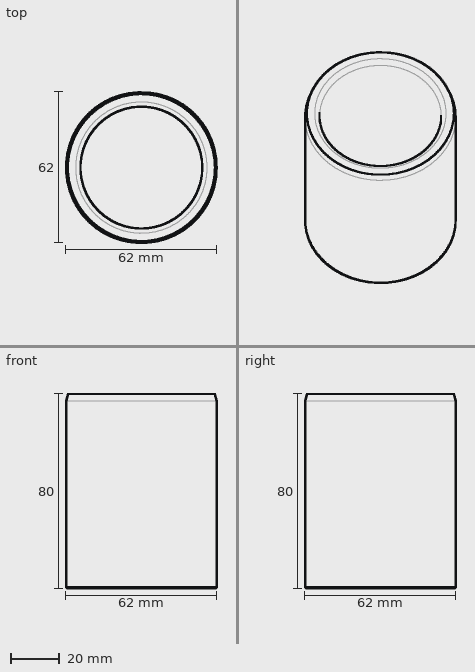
import cadquery as cq

outer_diameter = 62.0
bore_diameter = 50.0
length = 80.0

taper_height = 3.0
taper_width = 0.8

bottom_chamfer = 0.5

mouth_radius = 2.0


def sleeve():
    """Plain tube standing on the XY plane."""
    outer_radius = outer_diameter / 2
    bore_radius = bore_diameter / 2
    return cq.Workplane("XY").circle(outer_radius).circle(bore_radius).extrude(length)


def taper_top(body):
    """Long, shallow chamfer on the outer top edge."""
    outer_top_edge = cq.selectors.RadiusNthSelector(-1)
    return body.faces(">Z").edges(outer_top_edge).chamfer(taper_height, taper_width)


def chamfer_bottom(body):
    """Equal-leg chamfer on the outer bottom edge."""
    outer_bottom_edge = cq.selectors.RadiusNthSelector(-1)
    return body.faces("<Z").edges(outer_bottom_edge).chamfer(bottom_chamfer)


def round_mouth(body):
    """Fillet on the top edge of the bore."""
    bore_top_edge = cq.selectors.RadiusNthSelector(0)
    return body.faces(">Z").edges(bore_top_edge).fillet(mouth_radius)


result = round_mouth(chamfer_bottom(taper_top(sleeve())))